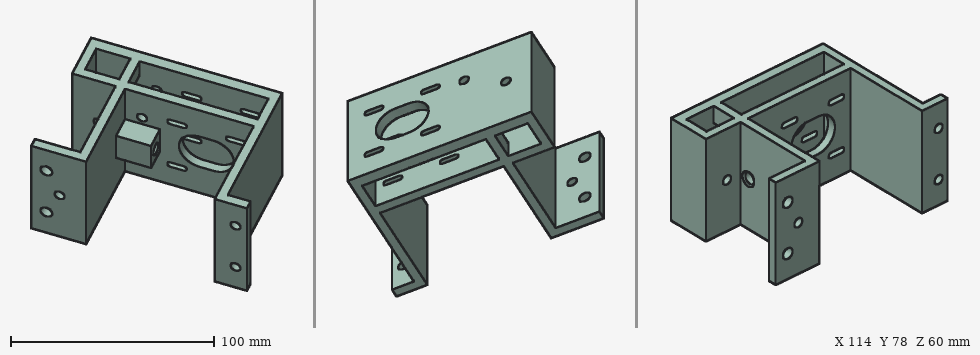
import cadquery as cq

width = 114.0
depth = 78.05
height = 60.0

wall = 5.0
back_wall = 6.0

box_left = 1.0
left_leg = 24.0
left_leg_inner = left_leg + wall
right_foot_length = 12.0
right_leg_outer = width - right_foot_length
right_leg = right_leg_outer - wall

cavity_depth = 14.75
cavity_back = depth - back_wall
cavity_front = cavity_back - cavity_depth
box_front = cavity_front - wall

block_length = 18.5
block_depth = 12.0
block_height = 16.0

motor_x = 72.0
slot_travel = 7.0
motor_hole_pitch = 31.0
motor_hole_diameter = 3.2
motor_boss_diameter = 22.0

foot_hole_pitch = 30.0
left_foot_hole_x = 8.0
left_foot_hole_diameter = 6.2
right_foot_hole_x = 108.0
screw_hole_diameter = 5.2
through_hole_x = 15.0
corner_hole_x = 38.0
corner_hole_z = 42.7

rod_hole_y = 46.7
rod_hole_z = 29.3
rod_hole_diameter = 6.5
rod_hole_chamfer = 1.0

cable_opening_height = 40.0

middle_z = height / 2


def slab(x_min, x_max, y_min, y_max, z_min=0.0, z_max=height):
    """Rectangular block between the given limits."""
    size = (x_max - x_min, y_max - y_min, z_max - z_min)
    return cq.Workplane("XY").box(*size, centered=False).translate((x_min, y_min, z_min))


def slot_along_y(x, z, diameter, travel, y_min, y_max):
    """Horizontal rounded slot cutter, lengthwise along X, reaching from y_min to y_max."""
    return (
        cq.Workplane("XZ", origin=(x, y_max, z))
        .slot2D(diameter + travel, diameter)
        .extrude(y_max - y_min)
    )


def hole_along_y(x, z, diameter, y_min, y_max):
    """Round hole cutter along Y, reaching from y_min to y_max."""
    return cq.Workplane("XZ", origin=(x, y_max, z)).circle(diameter / 2).extrude(y_max - y_min)


def make_body():
    """Hollow box carried on two legs with outward feet, plus the corner block."""
    body = slab(box_left, right_leg_outer, box_front, depth)
    body = body.union(slab(left_leg, left_leg_inner, 0, box_front))
    body = body.union(slab(right_leg, right_leg_outer, 0, box_front))
    body = body.union(slab(0, left_leg_inner, 0, wall))
    body = body.union(slab(right_leg, width, 0, wall))
    body = body.cut(slab(box_left + wall, left_leg, cavity_front, cavity_back))
    body = body.cut(slab(left_leg_inner, right_leg, cavity_front, cavity_back))
    block = slab(
        left_leg_inner,
        left_leg_inner + block_length,
        box_front - block_depth,
        box_front,
        middle_z - block_height / 2,
        middle_z + block_height / 2,
    )
    return body.union(block)


def cut_motor_openings(body):
    """Boss opening and four mounting slots through the motor wall and the back wall."""
    body = body.cut(slot_along_y(motor_x, middle_z, motor_boss_diameter, slot_travel, box_front, depth))
    for side_x in (-1, 1):
        for side_z in (-1, 1):
            x = motor_x + side_x * motor_hole_pitch / 2
            z = middle_z + side_z * motor_hole_pitch / 2
            body = body.cut(slot_along_y(x, z, motor_hole_diameter, slot_travel, box_front, depth))
    return body


def cut_screw_holes(body):
    """Foot mounting holes, one hole through left foot and box, one hole through the box alone."""
    for side in (-1, 1):
        z = middle_z + side * foot_hole_pitch / 2
        body = body.cut(hole_along_y(left_foot_hole_x, z, left_foot_hole_diameter, 0, wall))
        body = body.cut(hole_along_y(right_foot_hole_x, z, screw_hole_diameter, 0, wall))
    body = body.cut(hole_along_y(through_hole_x, middle_z, screw_hole_diameter, 0, depth))
    return body.cut(hole_along_y(corner_hole_x, corner_hole_z, screw_hole_diameter, box_front, depth))


def cut_rod_hole(body):
    """Countersunk hole along X through the left leg and the block."""
    radius = rod_hole_diameter / 2
    plane = cq.Workplane("YZ", origin=(left_leg, rod_hole_y, rod_hole_z))
    bore = plane.circle(radius).extrude(wall + block_length)
    countersink = (
        plane.circle(radius + rod_hole_chamfer)
        .workplane(offset=rod_hole_chamfer)
        .circle(radius)
        .loft(ruled=True)
    )
    return body.cut(bore).cut(countersink)


def cut_cable_opening(body):
    """Opening through the partition between the two cavities."""
    half = cable_opening_height / 2
    return body.cut(
        slab(left_leg, left_leg_inner, cavity_front, cavity_back, middle_z - half, middle_z + half)
    )


result = make_body()
result = cut_motor_openings(result)
result = cut_screw_holes(result)
result = cut_rod_hole(result)
result = cut_cable_opening(result)